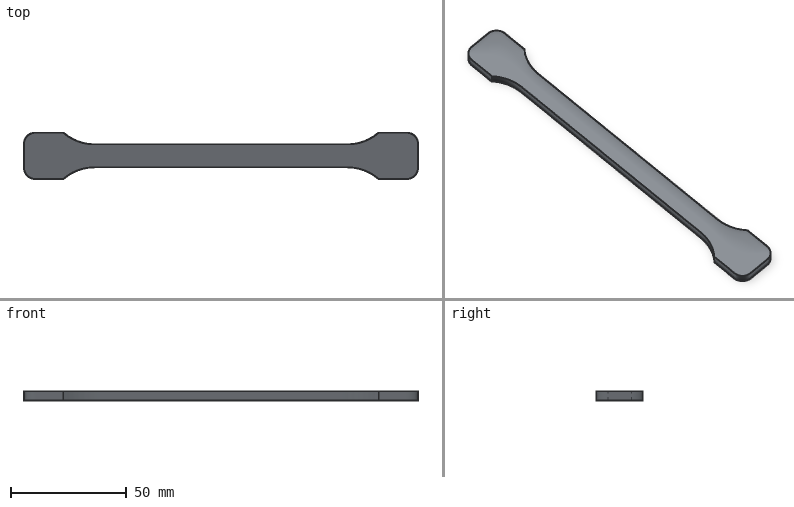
import cadquery as cq
import math

length = 170.0
grip_width = 20.0
thickness = 4.0
neck_width = grip_width / 2
neck_length = 109.3
shoulder_radius = 20.0
corner_radius = 5.0

half_length = length / 2
half_grip = grip_width / 2
half_neck = neck_width / 2
half_neck_length = neck_length / 2

rise = half_grip - half_neck
sweep = math.acos(1 - rise / shoulder_radius)


def shoulder_point(angle):
    """Point on the +X, +Y shoulder arc, at an angle from its start on the neck."""
    x = half_neck_length + shoulder_radius * math.sin(angle)
    y = half_neck + shoulder_radius * (1 - math.cos(angle))
    return x, y


shoulder_x, shoulder_y = shoulder_point(sweep)
middle_x, middle_y = shoulder_point(sweep / 2)

bar = (
    cq.Workplane("XY", origin=(0, 0, -thickness / 2))
    .moveTo(-half_neck_length, half_neck)
    .lineTo(half_neck_length, half_neck)
    .threePointArc((middle_x, middle_y), (shoulder_x, shoulder_y))
    .lineTo(half_length, half_grip)
    .lineTo(half_length, -half_grip)
    .lineTo(shoulder_x, -shoulder_y)
    .threePointArc((middle_x, -middle_y), (half_neck_length, -half_neck))
    .lineTo(-half_neck_length, -half_neck)
    .threePointArc((-middle_x, -middle_y), (-shoulder_x, -shoulder_y))
    .lineTo(-half_length, -half_grip)
    .lineTo(-half_length, half_grip)
    .lineTo(-shoulder_x, shoulder_y)
    .threePointArc((-middle_x, middle_y), (-half_neck_length, half_neck))
    .close()
    .extrude(thickness)
)

end_faces = bar.faces("<X or >X")
result = end_faces.edges("|Z").fillet(corner_radius)